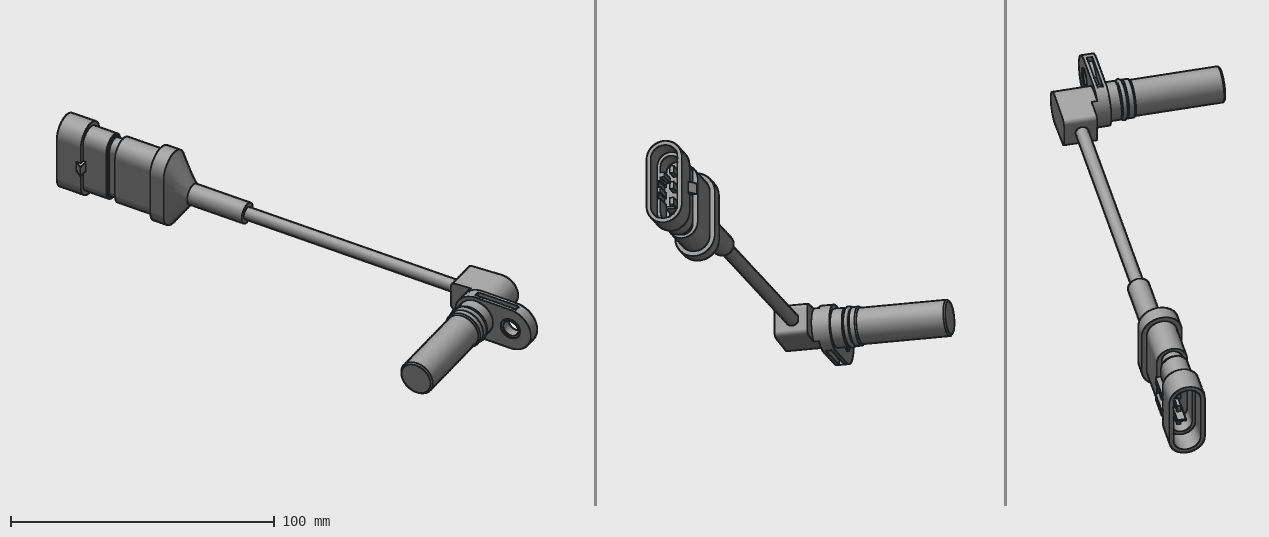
import cadquery as cq
import math

FULL_LENGTH = 211.5

FRONT_FLAT = 9.3
REAR_FLAT = 8.7
SHELL_RADIUS = 7.0
SHELL_END = 10.5
MID_RADIUS = 5.3
MID_END = 20.7
LIP_RADIUS = 4.5
LIP_END = 21.4
NECK_RADIUS = 4.0
NECK_END = 25.0
REAR_RADIUS = 6.0
REAR_END = 41.5
COLLAR_RADIUS = 7.8
COLLAR_END = 47.5

RAIL_TOP = 7.5
RAIL_HEIGHT = 2.8
RAIL_Z = 4.0
LATCH_START = 8.7
LATCH_END = 11.8
LATCH_TIP = 9.5
LATCH_WIDTH = 4.2

MOUTH_RADIUS = 5.3
MOUTH_DEPTH = 8.9
SOCKET_FLAT = 9.0
SOCKET_RADIUS = 4.0
SOCKET_DEPTH = 17.0
NOTCH_DEPTH = 0.6
NOTCH_HEIGHT = 2.5
NOTCH_Z = 2.3

PIN_COUNT = 4
PIN_PITCH = 6.3
PIN_WIDTH = 1.5
PIN_HEIGHT = 2.8
PIN_LENGTH = 5.3
PIN_ROW_Y = 0.5
PIN_ROW_Z = -0.8
BAR_KEY_WIDTH = 3.4
BAR_KEY_HEIGHT = 0.8
BAR_KEY_Z = -7.6
SIDE_KEY_WIDTH = 1.5
SIDE_KEY_HEIGHT = 2.0
SIDE_KEY_Z = 6.0

SLEEVE_START = 55.7
SLEEVE_END = 79.5
SLEEVE_DIAMETER = 8.5
CABLE_DIAMETER = 5.0

PROBE_DIAMETER = 14.0
HEAD_START = 172.5
HEAD_TOP = 7.0
HEAD_UNDERSIDE = -6.0
HEAD_START_HALF = 6.1
HEAD_END_RADIUS = PROBE_DIAMETER / 2
HEAD_FILLET = 2.0

FLANGE_RADIUS = 9.0
FLANGE_TOP = -8.0
FLANGE_THICKNESS = 4.9
FLANGE_BOTTOM = FLANGE_TOP - FLANGE_THICKNESS
HOLE_PITCH = 15.0
HOLE_X = FULL_LENGTH - FLANGE_RADIUS
PROBE_X = HOLE_X - HOLE_PITCH
HOLE_DIAMETER = 6.5
HOLE_STEP_DIAMETER = 8.5
HOLE_STEP_DEPTH = 0.5
SLOT_HEIGHT = 2.1
SLOT_START = 186.5
SLOT_END = 204.2
SLOT_FLOOR = 4.5
SLOT_CORE_RADIUS = 7.0

SEAT_DIAMETER = 15.0
SEAT_END = -22.5
SEAT_TAPER_END = -23.0
GROOVE_TOP = -17.4
GROOVE_WIDTH = 3.0
GROOVE_BOTTOM = GROOVE_TOP - GROOVE_WIDTH
GROOVE_DIAMETER = 12.5
PROBE_END = -58.0
PROBE_CHAMFER = 0.6

RING_SECTION_DIAMETER = 1.7


def stadium_sketch(x, flat, radius):
    return cq.Workplane("YZ", origin=(x, 0, 0)).slot2D(2 * (flat + radius), 2 * radius, 90)


def stadium(start, end, flat, radius):
    """Upright stadium section extruded along X."""
    return stadium_sketch(start, flat, radius).extrude(end - start)


def box(x_span, y_span, z_span):
    """Box given by its low and high limits along each axis."""
    corner = (x_span[0], y_span[0], z_span[0])
    size = (x_span[1] - x_span[0], y_span[1] - y_span[0], z_span[1] - z_span[0])
    return cq.Workplane("XY", origin=corner).box(*size, centered=False)


def span(middle, size):
    """Low and high limits of a size centred on a middle value."""
    return (middle - size / 2, middle + size / 2)


def rod(start, end, diameter):
    """Cylinder along the cable axis."""
    return cq.Workplane("YZ", origin=(start, 0, 0)).circle(diameter / 2).extrude(end - start)


def disc(x, top, bottom, radius):
    """Cylinder along Y between two heights."""
    return cq.Workplane("XZ", origin=(x, top, 0)).circle(radius).extrude(top - bottom)


def flare():
    """Transition from the connector collar to the round cable sleeve."""
    return (
        stadium_sketch(COLLAR_END, REAR_FLAT, COLLAR_RADIUS)
        .workplane(offset=SLEEVE_START - COLLAR_END)
        .circle(SLEEVE_DIAMETER / 2)
        .loft(ruled=True)
    )


def latch():
    """Wedge that rises from the shell and ends in a step behind it."""
    return (
        cq.Workplane("XY", origin=(0, 0, -LATCH_WIDTH / 2))
        .moveTo(LATCH_START, -SHELL_RADIUS)
        .lineTo(LATCH_END, -LATCH_TIP)
        .lineTo(LATCH_END, -MID_RADIUS)
        .lineTo(LATCH_START, -MID_RADIUS)
        .close()
        .extrude(LATCH_WIDTH)
    )


def connector_outside():
    body = stadium(0, SHELL_END, FRONT_FLAT, SHELL_RADIUS)
    body = body.union(stadium(SHELL_END, MID_END, FRONT_FLAT, MID_RADIUS))
    body = body.union(stadium(MID_END, LIP_END, FRONT_FLAT, LIP_RADIUS))
    body = body.union(stadium(LIP_END, NECK_END, FRONT_FLAT, NECK_RADIUS))
    body = body.union(stadium(NECK_END, REAR_END, REAR_FLAT, REAR_RADIUS))
    body = body.union(stadium(REAR_END, COLLAR_END, REAR_FLAT, COLLAR_RADIUS))
    body = body.union(flare()).union(latch())
    for side in (-1, 1):
        rail_y = (SOCKET_RADIUS + NOTCH_DEPTH, RAIL_TOP)
        rail = box((SHELL_END, MID_END), rail_y, span(side * RAIL_Z, RAIL_HEIGHT))
        body = body.union(rail)
    return body


def socket():
    """Space inside the connector: a wide mouth, a narrower socket and two notches in its wall."""
    space = stadium(0, MOUTH_DEPTH, FRONT_FLAT, MOUTH_RADIUS)
    space = space.union(stadium(MOUTH_DEPTH, SOCKET_DEPTH, SOCKET_FLAT, SOCKET_RADIUS))
    for side in (-1, 1):
        notch_y = (0, SOCKET_RADIUS + NOTCH_DEPTH)
        notch = box((MOUTH_DEPTH, SOCKET_DEPTH), notch_y, span(side * NOTCH_Z, NOTCH_HEIGHT))
        space = space.union(notch)
    return space


def pins():
    """Contact pins standing on the socket floor."""
    row = cq.Workplane("XY")
    for index in range(PIN_COUNT):
        z = PIN_ROW_Z + (index - (PIN_COUNT - 1) / 2) * PIN_PITCH
        pin_x = (SOCKET_DEPTH - PIN_LENGTH, SOCKET_DEPTH)
        row = row.add(box(pin_x, span(PIN_ROW_Y, PIN_WIDTH), span(z, PIN_HEIGHT)))
    return row.combine()


def keys():
    """Two keys along the socket: a bar above the lowest pin and a block on the +Y wall."""
    key_x = (MOUTH_DEPTH, SOCKET_DEPTH)
    bar = box(key_x, span(0, BAR_KEY_WIDTH), span(BAR_KEY_Z, BAR_KEY_HEIGHT))
    side_y = (SOCKET_RADIUS - SIDE_KEY_WIDTH, SOCKET_RADIUS)
    return bar.add(box(key_x, side_y, span(SIDE_KEY_Z, SIDE_KEY_HEIGHT))).combine()


def connector():
    return connector_outside().cut(socket()).union(pins()).union(keys())


def cable():
    sleeve = rod(SLEEVE_START, SLEEVE_END, SLEEVE_DIAMETER)
    return sleeve.union(rod(SLEEVE_END, HEAD_START, CABLE_DIAMETER))


def head(top, bottom):
    """Head block: sides that widen from the cable end until they are tangent to the round end."""
    length = PROBE_X - HEAD_START
    reach = math.hypot(length, HEAD_START_HALF)
    tilt = math.asin(HEAD_END_RADIUS / reach) - math.atan2(HEAD_START_HALF, length)
    tangent_x = PROBE_X - HEAD_END_RADIUS * math.sin(tilt)
    tangent_z = HEAD_END_RADIUS * math.cos(tilt)
    return (
        cq.Workplane("XZ", origin=(0, top, 0))
        .moveTo(HEAD_START, -HEAD_START_HALF)
        .lineTo(tangent_x, -tangent_z)
        .threePointArc((PROBE_X + HEAD_END_RADIUS, 0), (tangent_x, tangent_z))
        .lineTo(HEAD_START, HEAD_START_HALF)
        .close()
        .extrude(top - bottom)
        .edges("|Y and <X")
        .fillet(HEAD_FILLET)
    )


def flange_slots():
    """Slots in the upper and lower flange edges, which leave round cores at the probe and the hole."""
    slot_y = span(FLANGE_TOP - FLANGE_THICKNESS / 2, SLOT_HEIGHT)
    slots = box((SLOT_START, SLOT_END), slot_y, (SLOT_FLOOR, FLANGE_RADIUS))
    slots = slots.union(slots.mirror("XY"))
    for x in (PROBE_X, HOLE_X):
        slots = slots.cut(disc(x, FLANGE_TOP, FLANGE_BOTTOM, SLOT_CORE_RADIUS))
    return slots


def flange_hole():
    """Through hole with a shallow step at both faces."""
    hole = disc(HOLE_X, FLANGE_TOP, FLANGE_BOTTOM, HOLE_DIAMETER / 2)
    for top in (FLANGE_TOP, FLANGE_BOTTOM + HOLE_STEP_DEPTH):
        hole = hole.union(disc(HOLE_X, top, top - HOLE_STEP_DEPTH, HOLE_STEP_DIAMETER / 2))
    return hole


def flange():
    """Stadium plate; above its top face it continues up to the head only within the head outline."""
    plate = (
        cq.Workplane("XZ", origin=((PROBE_X + HOLE_X) / 2, HEAD_UNDERSIDE, 0))
        .slot2D(HOLE_PITCH + 2 * FLANGE_RADIUS, 2 * FLANGE_RADIUS)
        .extrude(HEAD_UNDERSIDE - FLANGE_BOTTOM)
    )
    layer = box((HEAD_START, FULL_LENGTH), (FLANGE_TOP, HEAD_UNDERSIDE), span(0, 2 * FLANGE_RADIUS))
    plate = plate.cut(layer.cut(head(HEAD_UNDERSIDE, FLANGE_TOP)))
    return plate.cut(flange_slots()).cut(flange_hole())


def probe():
    """Turned probe with a grooved seat, a short taper and a chamfered tip."""
    seat = SEAT_DIAMETER / 2
    groove = GROOVE_DIAMETER / 2
    shaft = PROBE_DIAMETER / 2
    profile = [
        (0, FLANGE_BOTTOM),
        (seat, FLANGE_BOTTOM),
        (seat, GROOVE_TOP),
        (groove, GROOVE_TOP),
        (groove, GROOVE_BOTTOM),
        (seat, GROOVE_BOTTOM),
        (seat, SEAT_END),
        (shaft, SEAT_TAPER_END),
        (shaft, PROBE_END + PROBE_CHAMFER),
        (shaft - PROBE_CHAMFER, PROBE_END),
        (0, PROBE_END),
    ]
    section = cq.Workplane("XY", origin=(PROBE_X, 0, 0)).polyline(profile).close()
    return section.revolve(360, (0, 0), (0, 1))


def wired_sensor():
    body = connector().union(cable()).union(head(HEAD_TOP, HEAD_UNDERSIDE))
    return body.union(flange()).union(probe())


def o_ring():
    """Ring resting on the floor of the probe groove, midway along it."""
    centre_radius = (GROOVE_DIAMETER + RING_SECTION_DIAMETER) / 2
    middle = (GROOVE_TOP + GROOVE_BOTTOM) / 2
    section = (
        cq.Workplane("XY", origin=(PROBE_X, middle, 0))
        .moveTo(centre_radius, 0)
        .circle(RING_SECTION_DIAMETER / 2)
    )
    return section.revolve(360, (0, 0), (0, 1))


result = cq.Compound.makeCompound([wired_sensor().val(), o_ring().val()])